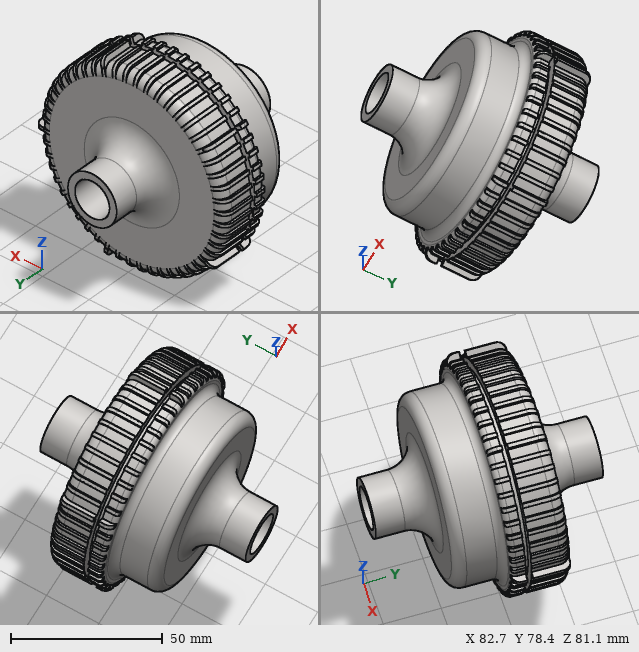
import cadquery as cq
import math


BORE_RADIUS = 7.4
SPOUT_RADIUS = 10.5
SPOUT_STRAIGHT = 10.0
SPOUT_FILLET = 10.0

RING_RADIUS = 36.05
RING_THICKNESS = 2.0

RIM_RADIUS = 39.6
FLANGE_THICKNESS = 5.05
FLANGE_FILLET = 2.0
CAP_THICKNESS = 13.9
CAP_FILLET = 4.05

BARREL_RADIUS = 33.5
BARREL_LENGTH = 17.45
BARREL_FILLET = 4.05
BARREL_ROOT_FILLET = 3.0

RIB_COUNT = 50
TALL_RIB_COUNT = 5
RIB_WIDTH = 1.5
RIB_ROOT_RADIUS = 34.7
RIB_RADIUS = 40.5
TALL_RIB_FILLET = 3.0
FLANGE_RIB_FILLET = 1.2
FLANGE_TALL_RIB_RADIUS = 42.2
FLANGE_RIB_SETBACK = 0.2
CAP_TALL_RIB_RADIUS = 42.0
CAP_TALL_RIB_SETBACK = 0.4

CAP_BASE = RING_THICKNESS
CAP_FACE = CAP_BASE + CAP_THICKNESS
CAP_END = CAP_FACE + SPOUT_FILLET + SPOUT_STRAIGHT
FLANGE_FACE = -FLANGE_THICKNESS
BARREL_FACE = FLANGE_FACE - BARREL_LENGTH
HOUSING_END = BARREL_FACE - SPOUT_FILLET - SPOUT_STRAIGHT


def round_corner(path, corner, radius, start, end):
    """Extend path by a tangent quarter arc that rounds a square corner.

    start and end are the unit directions from the corner to the arc's two ends.
    """
    sag = radius * (1 - math.sqrt(0.5))
    arc_start = (corner[0] + radius * start[0], corner[1] + radius * start[1])
    arc_middle = (corner[0] + sag * (start[0] + end[0]), corner[1] + sag * (start[1] + end[1]))
    arc_end = (corner[0] + radius * end[0], corner[1] + radius * end[1])
    return path.lineTo(*arc_start).threePointArc(arc_middle, arc_end)


INWARD = (-1, 0)
OUTWARD = (1, 0)
UP = (0, 1)
DOWN = (0, -1)


def revolve_about_y(path):
    return path.close().revolve(360, (0, 0, 0), (0, 1, 0))


def rib(base, face, radius, fillet):
    """Rib on the +X side from base to face along Y, rounded at its outer face corner."""
    toward_base = DOWN if face > base else UP
    path = cq.Workplane("XY").moveTo(RIB_ROOT_RADIUS, base).lineTo(radius, base)
    path = round_corner(path, (radius, face), fillet, toward_base, INWARD)
    return path.lineTo(RIB_ROOT_RADIUS, face).close().extrude(-RIB_WIDTH)


def add_ribs(body, shape, count):
    """Fuse evenly spaced copies of a rib onto the body."""
    copies = [shape.rotate((0, 0, 0), (0, 1, 0), i * 360 / count).val() for i in range(count)]
    return cq.Workplane(body.val().fuse(*copies).clean())


def make_housing():
    path = cq.Workplane("XY").moveTo(BORE_RADIUS, 0).lineTo(RIM_RADIUS, 0)
    path = round_corner(path, (RIM_RADIUS, FLANGE_FACE), FLANGE_FILLET, UP, INWARD)
    path = round_corner(path, (BARREL_RADIUS, FLANGE_FACE), BARREL_ROOT_FILLET, OUTWARD, DOWN)
    path = round_corner(path, (BARREL_RADIUS, BARREL_FACE), BARREL_FILLET, UP, INWARD)
    path = round_corner(path, (SPOUT_RADIUS, BARREL_FACE), SPOUT_FILLET, OUTWARD, DOWN)
    path = path.lineTo(SPOUT_RADIUS, HOUSING_END).lineTo(BORE_RADIUS, HOUSING_END)
    body = revolve_about_y(path)

    rib_face = FLANGE_FACE + FLANGE_RIB_SETBACK
    body = add_ribs(body, rib(0, rib_face, RIB_RADIUS, FLANGE_RIB_FILLET), RIB_COUNT)
    tall_rib = rib(0, rib_face, FLANGE_TALL_RIB_RADIUS, TALL_RIB_FILLET)
    return add_ribs(body, tall_rib, TALL_RIB_COUNT)


def make_cap():
    path = cq.Workplane("XY").moveTo(BORE_RADIUS, CAP_BASE).lineTo(RIM_RADIUS, CAP_BASE)
    path = round_corner(path, (RIM_RADIUS, CAP_FACE), CAP_FILLET, DOWN, INWARD)
    path = round_corner(path, (SPOUT_RADIUS, CAP_FACE), SPOUT_FILLET, OUTWARD, UP)
    path = path.lineTo(SPOUT_RADIUS, CAP_END).lineTo(BORE_RADIUS, CAP_END)
    body = revolve_about_y(path)

    body = add_ribs(body, rib(CAP_BASE, CAP_FACE, RIB_RADIUS, CAP_FILLET), RIB_COUNT)
    tall_rib = rib(CAP_BASE, CAP_FACE - CAP_TALL_RIB_SETBACK, CAP_TALL_RIB_RADIUS, TALL_RIB_FILLET)
    return add_ribs(body, tall_rib, TALL_RIB_COUNT)


def make_ring():
    outline = cq.Workplane("XZ").circle(RING_RADIUS).circle(BORE_RADIUS)
    return outline.extrude(-RING_THICKNESS)


housing = make_housing()
cap = make_cap()
ring = make_ring()

result = cq.Compound.makeCompound([
    *housing.solids().vals(),
    *cap.solids().vals(),
    *ring.solids().vals(),
])